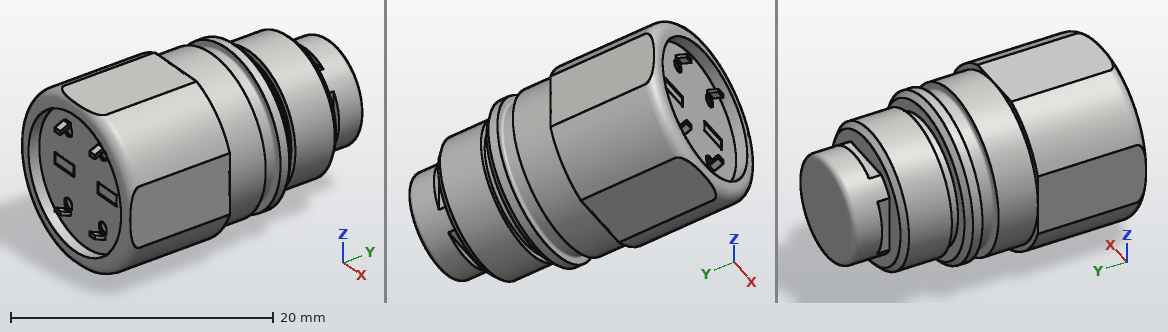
import cadquery as cq
import math

LENGTH = 24.07
BODY_R = 7.0
GRIP_R = 7.5
GRIP_LENGTH = 9.5
FRONT_FILLET = 0.99

GROOVE_START = 12.9
GROOVE_END = 14.3
GROOVE_R = 6.33
GROOVE_FILLET = 0.2
COLLAR_END = 15.6
COLLAR_CHAMFER = 0.48
NECK_R = 5.49
NECK_END = 16.42
BARREL_R = 6.02
BARREL_END = 20.6
BARREL_CHAMFER = 0.48
TAIL_R = 4.5
TAIL_FILLET = 0.48
TAIL_FLAT_END = 21.65
TAIL_FLAT_OFFSET = 3.78

RECESS_R = 6.0
RECESS_DEPTH = 1.0
SLOT_DEPTH = 0.1
SLOT_WIDTH = 2.48
SLOT_HEIGHT = 0.99
SLOT_X = 2.77

TAB_X = 2.25
HOLE_Z = 3.25
HOLE_R = 0.5
HOLE_DEPTH = 0.2
TAB_WIDTH = 0.72
TAB_THICKNESS = 0.31
TAB_OUTER_Z = 4.07
TAB_TIP_Z = 3.7
TAB_BEND_Y = 0.85
TAB_TIP_Y = 0


def cylinder(radius, start, end):
    """Round bar on the Y axis between two distances from the front end."""
    return cq.Workplane("XZ", origin=(0, start, 0)).circle(radius).extrude(start - end)


def square_bar(half_width, start, end):
    """Square bar on the Y axis between two distances from the front end."""
    side = 2 * half_width
    return cq.Workplane("XZ", origin=(0, start, 0)).rect(side, side).extrude(start - end)


def make_grip():
    """Front grip: a rounded cylinder with four flats flush with the body."""
    grip = cylinder(GRIP_R, 0, GRIP_LENGTH).faces("<Y").edges().fillet(FRONT_FILLET)
    return grip.intersect(square_bar(BODY_R, 0, GRIP_LENGTH))


def make_turned_body():
    """Collar, groove, neck and barrel behind the grip."""
    profile = (
        cq.Workplane("ZY")
        .moveTo(0, GRIP_LENGTH)
        .lineTo(BODY_R, GRIP_LENGTH)
        .lineTo(BODY_R, GROOVE_START)
        .lineTo(GROOVE_R + GROOVE_FILLET, GROOVE_START)
        .radiusArc((GROOVE_R, GROOVE_START + GROOVE_FILLET), GROOVE_FILLET)
        .lineTo(GROOVE_R, GROOVE_END - GROOVE_FILLET)
        .radiusArc((GROOVE_R + GROOVE_FILLET, GROOVE_END), GROOVE_FILLET)
        .lineTo(BODY_R, GROOVE_END)
        .lineTo(BODY_R, COLLAR_END - COLLAR_CHAMFER)
        .lineTo(BODY_R - COLLAR_CHAMFER, COLLAR_END)
        .lineTo(NECK_R, COLLAR_END)
        .lineTo(NECK_R, NECK_END)
        .lineTo(BARREL_R, NECK_END)
        .lineTo(BARREL_R, BARREL_END - BARREL_CHAMFER)
        .lineTo(BARREL_R - BARREL_CHAMFER, BARREL_END)
        .lineTo(0, BARREL_END)
        .close()
    )
    return profile.revolve(360, (0, 0, 0), (0, 1, 0))


def make_tail():
    """Rounded end cap on a foot with four flats."""
    cap = cylinder(TAIL_R, TAIL_FLAT_END, LENGTH).faces(">Y").edges().fillet(TAIL_FILLET)
    foot = cylinder(TAIL_R, BARREL_END, TAIL_FLAT_END)
    return cap.union(foot.intersect(square_bar(TAIL_FLAT_OFFSET, BARREL_END, TAIL_FLAT_END)))


def make_floor_marks():
    """Shallow slots and round pockets sunk into the recess floor."""
    floor = cq.Workplane("XZ", origin=(0, RECESS_DEPTH, 0))
    slot_centres = floor.pushPoints([(-SLOT_X, 0), (SLOT_X, 0)])
    slots = slot_centres.rect(SLOT_WIDTH, SLOT_HEIGHT).extrude(-SLOT_DEPTH)
    hole_centres = floor.rect(2 * TAB_X, 2 * HOLE_Z, forConstruction=True).vertices()
    holes = hole_centres.circle(HOLE_R).extrude(-HOLE_DEPTH)
    return slots.union(holes)


def make_tab(x, side):
    """Tab that leaves the floor straight, then leans towards the middle; side is +1 above, -1 below."""
    lean = math.atan2(TAB_OUTER_Z - TAB_TIP_Z, TAB_BEND_Y - TAB_TIP_Y)
    tip_height = TAB_THICKNESS / math.cos(lean)
    inner_z = TAB_OUTER_Z - TAB_THICKNESS
    inner_bend_y = TAB_BEND_Y + TAB_THICKNESS * math.tan(lean / 2)
    root_y = RECESS_DEPTH + HOLE_DEPTH
    profile = [
        (root_y, side * inner_z),
        (root_y, side * TAB_OUTER_Z),
        (TAB_BEND_Y, side * TAB_OUTER_Z),
        (TAB_TIP_Y, side * TAB_TIP_Z),
        (TAB_TIP_Y, side * (TAB_TIP_Z - tip_height)),
        (inner_bend_y, side * inner_z),
    ]
    plane = cq.Workplane("YZ", origin=(x, 0, 0))
    return plane.polyline(profile).close().extrude(TAB_WIDTH / 2, both=True)


result = make_grip().union(make_turned_body()).union(make_tail())
result = result.cut(cylinder(RECESS_R, 0, RECESS_DEPTH)).cut(make_floor_marks())
for tab_x in (-TAB_X, TAB_X):
    for tab_side in (-1, 1):
        result = result.union(make_tab(tab_x, tab_side))